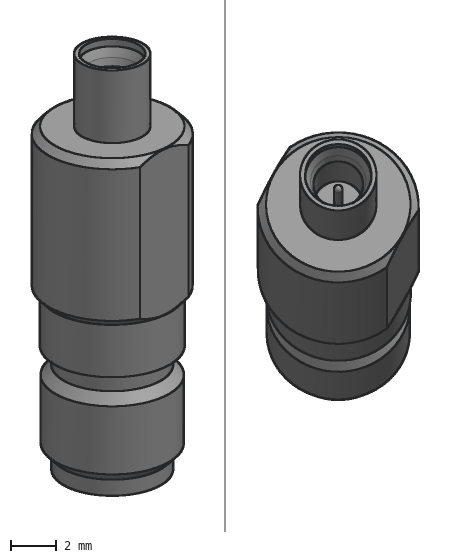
import cadquery as cq

pilot_top = 0.79
thread_bottom = 1.27
thread_top = 4.6
groove_bottom = 5.1
groove_top = 6.03
body_bottom = 8.57
body_top = 16.68
total_height = 20.22

neck_diameter = 5.34
thread_diameter = 6.27
collar_diameter = 6.35
body_diameter = 7.04
tube_diameter = 3.34

flat_spacing = 6.35
body_end_diameter = 6.3
chamfer_height = 0.36

mouth_diameter = 2.9
throat_diameter = 2.43
bore_diameter = 2.16
mouth_depth = 0.36
throat_depth = 0.79
bore_start_depth = 1.15
bore_depth = total_height - body_top
socket_floor = total_height - bore_depth

pin_diameter = 0.36
pin_length = 2.02


def revolve_profile(stations):
    """Solid of revolution about Z through (diameter, height) stations, lowest first."""
    outline = [(diameter / 2, height) for diameter, height in stations]
    bottom = stations[0][1]
    top = stations[-1][1]
    points = outline + [(0, top), (0, bottom)]
    return cq.Workplane("XZ").polyline(points).close().revolve(360, (0, 0), (0, 1))


def make_coupling_end():
    """Pilot, chamfered thread envelope, relief groove and collar."""
    return revolve_profile([
        (neck_diameter, 0),
        (neck_diameter, pilot_top),
        (thread_diameter, thread_bottom),
        (thread_diameter, thread_top),
        (neck_diameter, groove_bottom),
        (neck_diameter, groove_top),
        (collar_diameter, groove_top),
        (collar_diameter, body_bottom),
    ])


def make_body():
    """Round body with chamfered ends and two wrench flats facing -X and +X."""
    barrel = revolve_profile([
        (body_end_diameter, body_bottom),
        (body_diameter, body_bottom + chamfer_height),
        (body_diameter, body_top - chamfer_height),
        (body_end_diameter, body_top),
    ])
    flats = (
        cq.Workplane("XY")
        .workplane(offset=body_bottom)
        .rect(flat_spacing, body_diameter)
        .extrude(body_top - body_bottom)
    )
    return barrel.intersect(flats)


def make_tube():
    return revolve_profile([
        (tube_diameter, body_top),
        (tube_diameter, total_height),
    ])


def make_socket():
    """Stepped cavity of the tube."""
    return revolve_profile([
        (bore_diameter, socket_floor),
        (bore_diameter, total_height - bore_start_depth),
        (throat_diameter, total_height - throat_depth),
        (mouth_diameter, total_height - mouth_depth),
        (mouth_diameter, total_height),
    ])


def make_pin():
    """Round centre contact with a hemispherical tip."""
    pin_radius = pin_diameter / 2
    shank_top = socket_floor + pin_length - pin_radius
    shank = revolve_profile([
        (pin_diameter, body_bottom),
        (pin_diameter, shank_top),
    ])
    tip = cq.Workplane("XY").sphere(pin_radius).translate((0, 0, shank_top))
    return shank.union(tip)


housing = make_coupling_end().union(make_body()).union(make_tube())
result = housing.cut(make_socket()).union(make_pin())